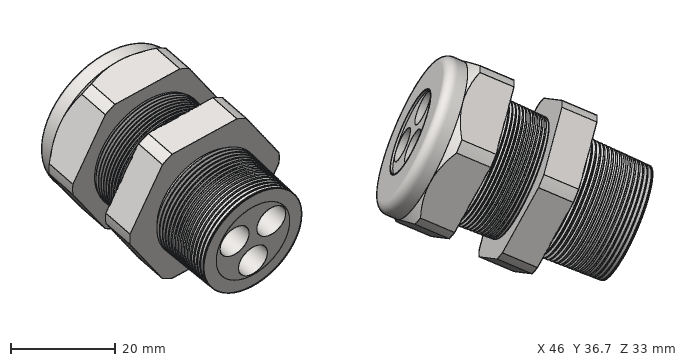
import cadquery as cq
import math

LENGTH = 45.95

HEX_FLATS = 33.0
HEX_ROUND_DIAMETER = 36.65

COLLAR_RADIUS = HEX_FLATS / 2
DOME_FILLET = 2.0
COLLAR_END = 4.25
GRIP_CHAMFER_LENGTH = 1.75
CAP_END = 13.3

FLANGE_START = 23.5
FLANGE_END = 31.0

FLANK_SLOPE = math.tan(math.radians(30))
FRONT_GROOVES = 14
FRONT_FIRST_GROOVE = 13.5
FRONT_LAST_GROOVE = 23.45
FRONT_ROOT_RADIUS = 12.55
FRONT_START_RADIUS = 13.15
FRONT_END_RADIUS = 12.8
THREAD_OVERLAP = 0.75
REAR_GROOVES = 16
REAR_FIRST_GROOVE = 32.25
REAR_LAST_GROOVE = 45.7
REAR_ROOT_RADIUS = 11.8
REAR_START_RADIUS = 12.45
REAR_END_RADIUS = 12.0

NECK_RADIUS = 11.68
NECK_END = 31.2

INSERT_RADIUS = 9.0
RIM_WIDTH = 0.25
RECESS_DEPTH = 0.45
CABLE_HOLE_RADIUS = 3.55
CABLE_HOLE_COUNT = 3
CABLE_HOLE_OFFSET = 5.2


def cylinder(radius, start, end):
    return cq.Workplane("YZ", origin=(start, 0, 0)).circle(radius).extrude(end - start)


def revolve_about_x(outline):
    return outline.close().revolve(360, (0, 0, 0), (1, 0, 0))


def hex_prism(start, end):
    across_corners = HEX_FLATS / math.cos(math.radians(30))
    prism = cq.Workplane("YZ", origin=(start, 0, 0)).polygon(6, across_corners).extrude(end - start)
    return prism.intersect(cylinder(HEX_ROUND_DIAMETER / 2, start, end))


def make_cap():
    collar = cylinder(COLLAR_RADIUS, 0, CAP_END).faces("<X").edges().fillet(DOME_FILLET)
    chamfer_cone = revolve_about_x(
        cq.Workplane("XY")
        .moveTo(COLLAR_END, 0)
        .lineTo(COLLAR_END, COLLAR_RADIUS)
        .lineTo(COLLAR_END + GRIP_CHAMFER_LENGTH, HEX_ROUND_DIAMETER / 2)
        .lineTo(CAP_END, HEX_ROUND_DIAMETER / 2)
        .lineTo(CAP_END, 0)
    )
    grip = hex_prism(COLLAR_END, CAP_END).intersect(chamfer_cone)
    return collar.union(grip)


def groove_points(first, last, count, root_radius, crest_radius_at):
    """Corner points of V grooves of one root radius, cut into a tapered crest."""
    pitch = (last - first) / (count - 1)
    points = []
    for i in range(count):
        center = first + i * pitch
        half_width = (crest_radius_at(center) - root_radius) * FLANK_SLOPE
        front_edge = center - half_width
        rear_edge = center + half_width
        points.append((front_edge, crest_radius_at(front_edge)))
        points.append((center, root_radius))
        points.append((rear_edge, crest_radius_at(rear_edge)))
    return points


def taper(start, start_radius, end, end_radius):
    """Radius along X of a cone through two given sections."""
    slope = (end_radius - start_radius) / (end - start)
    return lambda x: start_radius + slope * (x - start)


def make_front_thread():
    crest_radius_at = taper(CAP_END, FRONT_START_RADIUS, FLANGE_START, FRONT_END_RADIUS)
    start = CAP_END - THREAD_OVERLAP
    end = FLANGE_START + THREAD_OVERLAP
    grooves = groove_points(
        FRONT_FIRST_GROOVE, FRONT_LAST_GROOVE, FRONT_GROOVES, FRONT_ROOT_RADIUS, crest_radius_at
    )
    outline = [(start, 0), (start, crest_radius_at(start)), *grooves, (end, crest_radius_at(end)), (end, 0)]
    return revolve_about_x(cq.Workplane("XY").polyline(outline))


def make_rear_thread():
    crest_radius_at = taper(NECK_END, REAR_START_RADIUS, LENGTH, REAR_END_RADIUS)
    grooves = groove_points(
        REAR_FIRST_GROOVE, REAR_LAST_GROOVE, REAR_GROOVES, REAR_ROOT_RADIUS, crest_radius_at
    )
    outline = (
        cq.Workplane("XY")
        .moveTo(FLANGE_END, 0)
        .lineTo(FLANGE_END, NECK_RADIUS)
        .lineTo(NECK_END, NECK_RADIUS)
        .tangentArcPoint(grooves[0], relative=False)
    )
    for point in grooves[1:]:
        outline = outline.lineTo(*point)
    return revolve_about_x(outline.lineTo(LENGTH, REAR_END_RADIUS).lineTo(LENGTH, 0))


def make_gland():
    return (
        make_cap()
        .union(make_front_thread())
        .union(hex_prism(FLANGE_START, FLANGE_END))
        .union(make_rear_thread())
        .cut(cylinder(INSERT_RADIUS, 0, LENGTH))
    )


def make_insert():
    insert = cylinder(INSERT_RADIUS, 0, LENGTH)
    insert = insert.cut(cylinder(INSERT_RADIUS - RIM_WIDTH, 0, RECESS_DEPTH))
    cable_holes = (
        cq.Workplane("YZ")
        .polarArray(CABLE_HOLE_OFFSET, -90, 360, CABLE_HOLE_COUNT)
        .circle(CABLE_HOLE_RADIUS)
        .extrude(LENGTH)
    )
    return insert.cut(cable_holes)


gland = make_gland()
insert = make_insert()

result = cq.Compound.makeCompound([gland.solids().val(), insert.solids().val()])